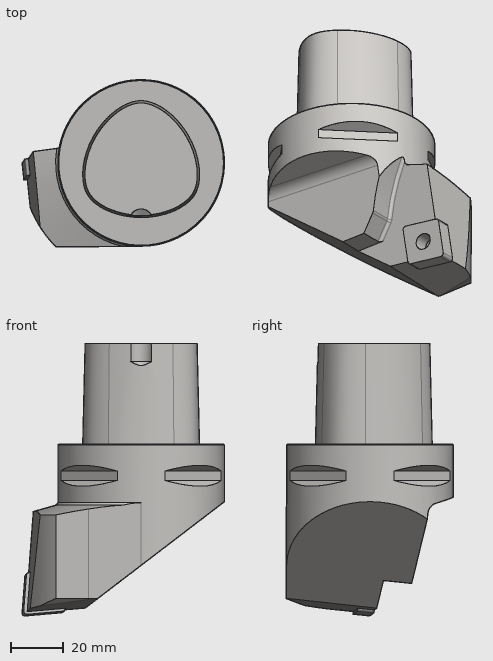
import cadquery as cq
import math


shank_length = 38.0
tool_length = 65.0
nose_reach = 45.0
flange_radius = 63.0 / 2
beyond = 60.0
clearance = 1.0

shank_base_radius = 22.1
shank_top_radius = 21.2
lobe_height = 1.45
lobe_half_angle = 36.5
curve_steps = 16
notch_radius = 4.5
notch_axis_y = -21.9
notch_depth = 6.9
notch_tip_angle = 30.0

flange_edge = 0.4
flange_height = 22.2
groove_z = -12.0
groove_floor_distance = 27.7
groove_floor_width = 3.5
groove_flank_angle = 30.0

neck_radius = 32.3
neck_z = -23.1
head_radius = 45.2
head_slope = math.tan(math.radians(16))
front_y = -31.7
front_bend_x = -19.8
underside_top_x = 31.5
underside_top_z = -21.8
underside_slope = math.tan(math.radians(37.4))
front_edge_z = -58.4
front_bevel_slope = math.tan(math.radians(21))

rake_tilt = math.tan(math.radians(6))
lead_angle = 5.0
insert_circle = 15.875
insert_angle = 80.0
insert_thickness = 6.35
insert_hole_diameter = 6.35
nose_radius = 1.2
nose_y = 0.0
side_overhang = 1.3
end_overhang = 1.0

wall_top = (-33.0, -14.5)
wall_middle = (-25.5, -29.7)
wall_foot = (-21.8, -43.4)
step_foot = (-17.0, -50.9)
shelf_end = (-5.0, -51.7)
pocket_corner_radius = 1.2
step_edge_radius = 2.5
relief_y = 19.7
relief_z = -23.3
relief_roof_slope = 0.28
relief_fillet = 4.5

insert_edge = insert_circle / math.sin(math.radians(insert_angle))
nose_setback = nose_radius / math.sin(math.radians(insert_angle / 2))
centre_reach = insert_edge * math.cos(math.radians(insert_angle / 2)) - nose_setback
diagonal_share = math.sqrt(0.5)

nose_centre = (-nose_reach + nose_radius, nose_y, -tool_length + nose_radius)
rake_plane = cq.Plane(origin=nose_centre, xDir=(1, rake_tilt, 0), normal=(rake_tilt, -1, rake_tilt))

head_corner_x = side_overhang - nose_radius
head_corner_y = end_overhang - nose_radius


def shank_section(radius, z):
    """Closed three-lobed curve of constant width, one lobe toward +Y, split at both ends of each lobe."""
    def point(turn):
        angle = turn + math.pi / 2
        reach = radius + lobe_height * math.cos(3 * turn)
        swing = -3 * lobe_height * math.sin(3 * turn)
        x = reach * math.cos(angle) - swing * math.sin(angle)
        y = reach * math.sin(angle) + swing * math.cos(angle)
        return (x, y, z)

    third = 2 * math.pi / 3
    half_lobe = math.radians(lobe_half_angle)
    edges = []
    for lobe in range(3):
        middle = lobe * third
        for start, stop in ((-half_lobe, half_lobe), (half_lobe, third - half_lobe)):
            turns = [middle + start + (stop - start) * i / curve_steps for i in range(curve_steps + 1)]
            edges.append(cq.Edge.makeSpline([cq.Vector(*point(turn)) for turn in turns]))
    return cq.Wire.assembleEdges(edges)


def make_shank():
    base = shank_section(shank_base_radius, 0)
    top = shank_section(shank_top_radius, shank_length)
    shank = cq.Workplane(cq.Solid.makeLoft([base, top], True))
    tip_height = notch_radius * math.tan(math.radians(notch_tip_angle))
    floor_z = shank_length - notch_depth
    notch = (
        cq.Workplane("XZ")
        .moveTo(0, shank_length + clearance)
        .lineTo(notch_radius, shank_length + clearance)
        .lineTo(notch_radius, floor_z)
        .lineTo(0, floor_z - tip_height)
        .close()
        .revolve(360, (0, 0), (0, 1))
        .translate((0, notch_axis_y, 0))
    )
    return shank.cut(notch)


def make_core():
    """Flange and the round core that continues below it."""
    return (
        cq.Workplane("XY")
        .circle(flange_radius)
        .extrude(-tool_length)
        .faces(">Z")
        .chamfer(flange_edge)
    )


def gripper_grooves():
    depth = flange_radius - groove_floor_distance + clearance
    half_floor = groove_floor_width / 2
    half_mouth = half_floor + depth * math.tan(math.radians(groove_flank_angle))
    inner = groove_floor_distance
    outer = inner + depth
    groove = (
        cq.Workplane("XZ")
        .polyline([
            (inner, groove_z - half_floor),
            (outer, groove_z - half_mouth),
            (outer, groove_z + half_mouth),
            (inner, groove_z + half_floor),
        ])
        .close()
        .extrude(flange_radius, both=True)
    )
    grooves = cq.Workplane()
    for angle in (45, 135, 225, 315):
        grooves = grooves.add(groove.rotate((0, 0, 0), (0, 0, 1), angle))
    return grooves.vals()


def insert_corners(size, corner_x, corner_y):
    """Rhombus in the rake frame, sharp corner as given, sides set by the lead and insert angles."""
    low = math.radians(lead_angle)
    high = math.radians(lead_angle + insert_angle)
    along = (size * math.cos(low), size * math.sin(low))
    up = (size * math.cos(high), size * math.sin(high))
    return [
        (corner_x, corner_y),
        (corner_x + along[0], corner_y + along[1]),
        (corner_x + along[0] + up[0], corner_y + along[1] + up[1]),
        (corner_x + up[0], corner_y + up[1]),
    ]


def make_insert_blank():
    corner = -nose_setback * diagonal_share
    return (
        cq.Workplane(rake_plane)
        .polyline(insert_corners(insert_edge, corner, corner))
        .close()
        .extrude(insert_thickness)
        .edges(cq.selectors.ParallelDirSelector(rake_plane.zDir))
        .fillet(nose_radius)
    )


def make_insert():
    centre = centre_reach * diagonal_share
    hole = (
        cq.Workplane(rake_plane)
        .center(centre, centre)
        .circle(insert_hole_diameter / 2)
        .extrude(insert_thickness)
    )
    return make_insert_blank().cut(hole)


def make_head():
    """Cone-topped block that carries the insert, bounded by the rake plane and the insert's directions."""
    rim_z = neck_z - head_slope * (head_radius - neck_radius)
    turned = (
        cq.Workplane("XZ")
        .polyline([
            (0, -flange_height),
            (flange_radius, -flange_height),
            (neck_radius, neck_z),
            (head_radius, rim_z),
            (head_radius, -tool_length),
            (0, -tool_length),
        ])
        .close()
        .revolve(360, (0, 0), (0, 1))
    )
    plan = (
        cq.Workplane("XY")
        .moveTo(-beyond, front_y)
        .lineTo(front_bend_x, front_y)
        .lineTo(0, -flange_radius)
        .threePointArc((flange_radius, 0), (0, flange_radius))
        .lineTo(-beyond, flange_radius)
        .close()
        .extrude(-tool_length)
    )
    quadrant = (
        cq.Workplane(rake_plane)
        .polyline(insert_corners(2 * beyond, head_corner_x, head_corner_y))
        .close()
        .extrude(beyond)
    )
    return turned.intersect(plan).intersect(quadrant)


def chip_pocket():
    """Space over the rake face: concave wall, receding step, then a shelf out to the underside."""
    def local(point):
        return (point[0] - nose_centre[0], point[1] - nose_centre[2])
    pocket = (
        cq.Workplane(rake_plane)
        .moveTo(*local(wall_top))
        .threePointArc(local(wall_middle), local(wall_foot))
        .lineTo(*local(step_foot))
        .lineTo(*local(shelf_end))
        .lineTo(*local((shelf_end[0], -tool_length - beyond)))
        .lineTo(*local((-nose_reach - beyond, -tool_length - beyond)))
        .lineTo(*local((-nose_reach - beyond, wall_top[1])))
        .close()
        .extrude(-beyond)
    )
    foot = rake_plane.toWorldCoords(local(wall_foot) + (-beyond / 2,))
    wall = rake_plane.toWorldCoords(local(wall_middle) + (0,))
    pocket = pocket.edges(cq.selectors.NearestToPointSelector(foot.toTuple())).fillet(step_edge_radius)
    return pocket.edges(cq.selectors.NearestToPointSelector(wall.toTuple())).fillet(pocket_corner_radius)


def rear_relief():
    """Clearance behind the head, its wall parallel to the rake face."""
    plane = cq.Plane(origin=(0, 0, 0), xDir=(-rake_tilt, 1, 0), normal=(1, rake_tilt, 0))
    outer_y = relief_y + beyond
    floor_z = relief_z - beyond
    return (
        cq.Workplane(plane)
        .polyline([
            (relief_y, relief_z),
            (outer_y, relief_z + relief_roof_slope * beyond),
            (outer_y, floor_z),
            (relief_y - rake_tilt * beyond, floor_z),
        ])
        .close()
        .extrude(beyond, both=True)
        .edges(cq.selectors.NearestToPointSelector((0, relief_y, relief_z)))
        .fillet(relief_fillet)
    )


def sloping_underside():
    run = 2 * beyond
    low_x = underside_top_x - run
    low_z = underside_top_z - run * underside_slope
    high_x = underside_top_x + beyond
    high_z = underside_top_z + beyond * underside_slope
    return (
        cq.Workplane("XZ")
        .polyline([(low_x, low_z), (high_x, high_z), (high_x, low_z)])
        .close()
        .extrude(beyond, both=True)
    )


def front_bevel():
    inner_y = front_y + beyond
    low_z = front_edge_z - beyond * front_bevel_slope
    outer_y = front_y - clearance
    outer_z = front_edge_z + clearance * front_bevel_slope
    return (
        cq.Workplane("YZ")
        .polyline([(outer_y, outer_z), (inner_y, low_z), (outer_y, low_z)])
        .close()
        .extrude(beyond, both=True)
    )


def below_head():
    """Part of the core on the insert side of the rake plane that lies under the bottom of the head."""
    right_x = head_corner_x + 2 * beyond
    right_y = head_corner_y + 2 * beyond * math.tan(math.radians(lead_angle))
    outline = [
        (head_corner_x, head_corner_y),
        (right_x, right_y),
        (right_x, -beyond),
        (head_corner_x, -beyond),
    ]
    return (
        cq.Workplane(rake_plane)
        .polyline(outline)
        .close()
        .extrude(beyond)
    )


def make_holder():
    holder = make_core().cut(below_head()).union(make_head())
    holder = holder.cut(chip_pocket()).cut(rear_relief())
    holder = holder.cut(sloping_underside()).cut(front_bevel())
    for groove in gripper_grooves():
        holder = holder.cut(cq.Workplane(groove))
    return holder.union(make_shank()).cut(make_insert_blank())


holder = make_holder()
insert = make_insert()

result = cq.Compound.makeCompound([*holder.vals(), *insert.vals()])